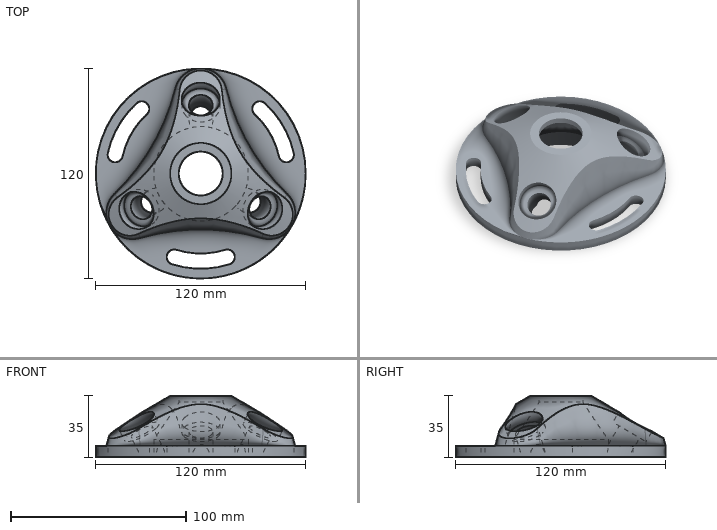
import cadquery as cq
import math

PLATE_RADIUS = 60.0
PLATE_THICKNESS = 6.5
HEIGHT = 35.0

CROWN_RADIUS = 17.5
CONE_SLOPE = 30.4

LOBE_ANGLES = (90.0, 210.0, 330.0)
LOBE_RADIUS = 15.0
LOBE_DISTANCE = PLATE_RADIUS - LOBE_RADIUS
FLANK_RADIUS = 125.0
WALL_DRAFT = 15.0

BORE_RADIUS = 12.5
BORE_DEPTH = 3.5
HOLLOW_RADIUS = 27.0
HOLLOW_SKIRT = 10.2

SCREW_DISTANCE = 42.5
SCREW_DIAMETER = 13.5
COUNTERBORE_DIAMETER = 22.0
COUNTERBORE_DEPTH = 6.7

SLOT_ANGLES = (30.0, 150.0, 270.0)
SLOT_PATH_RADIUS = 50.0
SLOT_WIDTH = 8.5
SLOT_HALF_ANGLE = 17.6

CLEARANCE = 24.0


def polar(radius, angle):
    """Point in the XY plane at an angle given in degrees."""
    turn = math.radians(angle)
    return (radius * math.cos(turn), radius * math.sin(turn))


def cone_height(radius):
    """Height of the conical top surface at a distance from the Z axis."""
    return HEIGHT - (radius - CROWN_RADIUS) * math.tan(math.radians(CONE_SLOPE))


def lobed_body():
    half_gap = LOBE_DISTANCE * math.sin(math.radians(60))
    lobe_offset = LOBE_DISTANCE * math.cos(math.radians(60))
    center_gap = FLANK_RADIUS + LOBE_RADIUS
    flank_center = lobe_offset + math.sqrt(center_gap**2 - half_gap**2)
    flank_inset = flank_center - FLANK_RADIUS
    tangent_turn = 60 + math.degrees(math.asin(half_gap / center_gap))

    def lobe_point(lobe_angle, turn):
        center = polar(LOBE_DISTANCE, lobe_angle)
        offset = polar(LOBE_RADIUS, lobe_angle + turn)
        return (center[0] + offset[0], center[1] + offset[1])

    outline = cq.Workplane("XY").workplane(offset=PLATE_THICKNESS)
    outline = outline.moveTo(*lobe_point(LOBE_ANGLES[0], -tangent_turn))
    for angle in LOBE_ANGLES:
        next_angle = angle + 120
        outline = outline.threePointArc(lobe_point(angle, 0), lobe_point(angle, tangent_turn))
        outline = outline.threePointArc(
            polar(flank_inset, angle + 60), lobe_point(next_angle, -tangent_turn)
        )
    prism = outline.close().extrude(HEIGHT - PLATE_THICKNESS, taper=WALL_DRAFT)

    cone_envelope = (
        cq.Workplane("XZ")
        .moveTo(0, 0)
        .lineTo(PLATE_RADIUS, 0)
        .lineTo(PLATE_RADIUS, cone_height(PLATE_RADIUS))
        .lineTo(CROWN_RADIUS, HEIGHT)
        .lineTo(0, HEIGHT)
        .close()
        .revolve(360, (0, 0), (0, 1))
    )
    return prism.intersect(cone_envelope)


def bore_and_hollow():
    ceiling = HEIGHT - BORE_DEPTH
    return (
        cq.Workplane("XZ")
        .moveTo(0, 0)
        .lineTo(HOLLOW_RADIUS, 0)
        .lineTo(HOLLOW_RADIUS, HOLLOW_SKIRT)
        .lineTo(BORE_RADIUS, ceiling)
        .lineTo(BORE_RADIUS, HEIGHT)
        .lineTo(0, HEIGHT)
        .close()
        .revolve(360, (0, 0), (0, 1))
    )


def screw_hole(angle):
    x, y = polar(SCREW_DISTANCE, angle)
    axis_x, axis_y = polar(math.sin(math.radians(CONE_SLOPE)), angle)
    axis = (axis_x, axis_y, math.cos(math.radians(CONE_SLOPE)))
    seat = cq.Workplane(cq.Plane((x, y, cone_height(SCREW_DISTANCE)), normal=axis))
    shank = seat.circle(SCREW_DIAMETER / 2).extrude(-HEIGHT)
    head = (
        seat.workplane(offset=-COUNTERBORE_DEPTH)
        .circle(COUNTERBORE_DIAMETER / 2)
        .extrude(COUNTERBORE_DEPTH + CLEARANCE)
    )
    return shank.union(head)


def curved_slot(angle):
    inner = SLOT_PATH_RADIUS - SLOT_WIDTH / 2
    outer = SLOT_PATH_RADIUS + SLOT_WIDTH / 2
    start = angle - SLOT_HALF_ANGLE
    end = angle + SLOT_HALF_ANGLE
    end_cap = math.degrees(SLOT_WIDTH / 2 / SLOT_PATH_RADIUS)
    return (
        cq.Workplane("XY")
        .moveTo(*polar(outer, start))
        .threePointArc(polar(outer, angle), polar(outer, end))
        .threePointArc(polar(SLOT_PATH_RADIUS, end + end_cap), polar(inner, end))
        .threePointArc(polar(inner, angle), polar(inner, start))
        .threePointArc(polar(SLOT_PATH_RADIUS, start - end_cap), polar(outer, start))
        .close()
        .extrude(PLATE_THICKNESS)
    )


plate = cq.Workplane("XY").circle(PLATE_RADIUS).extrude(PLATE_THICKNESS)
result = plate.union(lobed_body()).cut(bore_and_hollow())
for lobe_angle in LOBE_ANGLES:
    result = result.cut(screw_hole(lobe_angle))
for slot_angle in SLOT_ANGLES:
    result = result.cut(curved_slot(slot_angle))